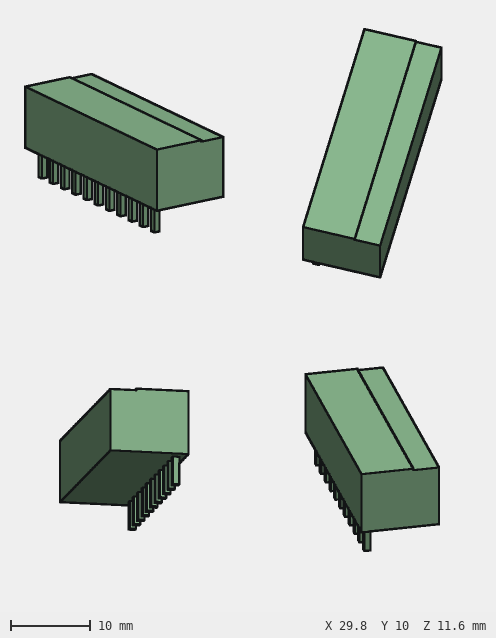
import cadquery as cq

length = 29.75
depth = 10.0
total_height = 11.6
pin_length = 3.5
housing_height = total_height - pin_length

step_width = 3.3
step_drop = 0.2

pin_count = 11
pin_row_span = 25.4
pin_pitch = pin_row_span / (pin_count - 1)
pin_side = 0.8
pin_front_gap = 0.8


def make_housing():
    """Stepped side profile in the YZ plane, extruded along the length."""
    front = -depth / 2
    rear = depth / 2
    step = rear - step_width
    return (
        cq.Workplane("YZ")
        .moveTo(front, 0)
        .lineTo(rear, 0)
        .lineTo(rear, housing_height - step_drop)
        .lineTo(step, housing_height - step_drop)
        .lineTo(step, housing_height)
        .lineTo(front, housing_height)
        .close()
        .extrude(length / 2, both=True)
    )


def add_pins(housing):
    """Square pins hanging from the underside, centred along the length."""
    pin_y = -depth / 2 + pin_front_gap + pin_side / 2
    pin_centres = [(-pin_row_span / 2 + i * pin_pitch, pin_y) for i in range(pin_count)]
    pins = cq.Workplane("XY").pushPoints(pin_centres).rect(pin_side, pin_side).extrude(-pin_length)
    return housing.union(pins)


result = add_pins(make_housing())